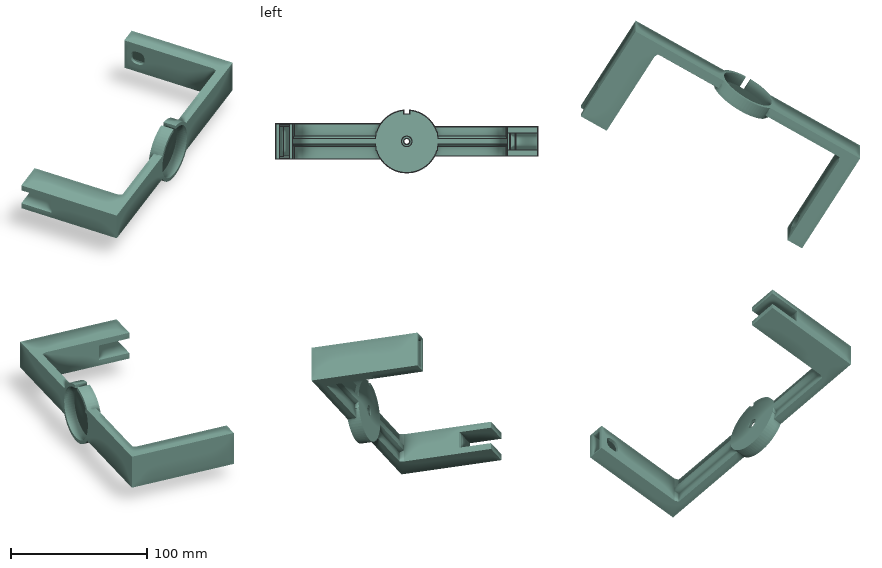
import cadquery as cq

total_length = 192.0
frame_depth = 10.0
y_end = total_length / 2

recess_depth = 3.0
upper_height = 26.1
lower_height = 21.7
rib_tip_width = 4.0
rib_base_width = 7.7
corner_run = 1.3

socket_arm_reach = 72.5
socket_arm_thickness = 12.3
socket_width = 7.3
socket_height = 21.5
socket_depth = 22.0
socket_outer_wall = 2.7
mouth_bevel = 1.3
socket_step_width = 3.0
socket_step = 0.2
button_hole_width = 11.0
button_hole_height = 11.5
button_hole_corner = 4.2
button_hole_setback = 11.0

fork_arm_reach = 68.0
fork_arm_thickness = 22.0
fork_gap = 12.3
fork_depth = 24.5
groove_size = 0.5
groove_offsets = (2.0, 6.0)

dial_radius = 23.0
dial_sides = 64
cap_thickness = 1.7
cup_radius = 20.4
notch_width = 4.0
notch_floor = 20.2
tab_span = 45.1
tab_height = 13.5
screw_hole_diameter = 4.2
screw_head_diameter = 7.7
screw_head_depth = 0.8


def box(x_range, y_range, z_range):
    """Axis-aligned block from its limits on each axis."""
    size = [high - low for low, high in (x_range, y_range, z_range)]
    corner = cq.Vector(x_range[0], y_range[0], z_range[0])
    return cq.Workplane(cq.Solid.makeBox(*size, corner))


def centred(width):
    return (-width / 2, width / 2)


def dial_prism(radius, x_start, x_end):
    """Regular prism along X, with a corner pointing straight up."""
    return (
        cq.Workplane("YZ", origin=(x_start, 0, 0))
        .polygon(dial_sides, 2 * radius)
        .extrude(x_end - x_start)
    )


def dial_cylinder(diameter, depth):
    return cq.Workplane("YZ").circle(diameter / 2).extrude(depth)


def half_frame(side, height, arm_reach, arm_thickness):
    """L-shaped half: spine and arm, with a sloped inner corner; side is +1 or -1 along Y."""
    y_inner = y_end - arm_thickness
    outline = [
        (recess_depth, 0),
        (recess_depth, y_inner - corner_run),
        (0, y_inner),
        (-arm_reach, y_inner),
        (-arm_reach, y_end),
        (frame_depth, y_end),
        (frame_depth, 0),
    ]
    return (
        cq.Workplane("XY", origin=(0, 0, -height / 2))
        .polyline([(x, side * y) for x, y in outline])
        .close()
        .extrude(height)
    )


def spine_rib():
    """Tapered rib joining the two arms, flush with the front of the dial."""
    y_low = fork_arm_thickness - y_end
    y_high = y_end - socket_arm_thickness
    return (
        cq.Workplane("XZ", origin=(0, y_low, 0))
        .polyline([
            (0, -rib_tip_width / 2),
            (recess_depth, -rib_base_width / 2),
            (recess_depth, rib_base_width / 2),
            (0, rib_tip_width / 2),
        ])
        .close()
        .extrude(y_low - y_high)
    )


def cut_socket(body):
    """Rectangular socket in the arm end, bevelled above and below, with a rounded button hole.

    The strip along the outer wall is a shallow step taller and deeper than the rest.
    """
    x_mouth = -socket_arm_reach
    y_high = y_end - socket_outer_wall
    y_low = y_high - socket_width
    socket = box((x_mouth, x_mouth + socket_depth), (y_low, y_high), centred(socket_height))
    step = box(
        (x_mouth, x_mouth + socket_depth + socket_step),
        (y_high - socket_step_width, y_high),
        centred(socket_height + 2 * socket_step),
    )
    mouth = (
        cq.Workplane("XZ", origin=(0, y_low, 0))
        .polyline([
            (x_mouth, -socket_height / 2 - mouth_bevel),
            (x_mouth + mouth_bevel, -socket_height / 2),
            (x_mouth + mouth_bevel, socket_height / 2),
            (x_mouth, socket_height / 2 + mouth_bevel),
        ])
        .close()
        .extrude(-socket_width)
    )
    y_inner = y_end - socket_arm_thickness
    button_hole = (
        cq.Workplane("XZ", origin=(x_mouth + button_hole_setback, y_inner, 0))
        .rect(button_hole_width, button_hole_height)
        .extrude(y_inner - y_high)
        .edges("|Y")
        .fillet(button_hole_corner)
    )
    return body.cut(socket).cut(step).cut(mouth).cut(button_hole)


def cut_fork(body):
    """Open gap between the two tines, with two fine grooves in its end wall."""
    x_tip = -fork_arm_reach
    x_wall = x_tip + fork_depth
    y_inner = fork_arm_thickness - y_end
    body = body.cut(box((x_tip, x_wall), (-y_end, y_inner), centred(fork_gap)))
    for offset in groove_offsets:
        y_groove = y_inner - offset
        groove = box((x_wall, x_wall + groove_size), (y_groove, y_groove + groove_size), centred(fork_gap))
        body = body.cut(groove)
    return body


def add_dial(body):
    """Cup-shaped dial with side tabs, a notch at the top and a counterbored screw hole."""
    body = body.union(dial_prism(dial_radius, 0, frame_depth))
    body = body.union(box((0, recess_depth), centred(tab_span), centred(tab_height)))
    body = body.cut(dial_prism(cup_radius, cap_thickness, frame_depth))
    body = body.cut(box((0, frame_depth), centred(notch_width), (notch_floor, dial_radius)))
    body = body.cut(dial_cylinder(screw_hole_diameter, cap_thickness))
    return body.cut(dial_cylinder(screw_head_diameter, screw_head_depth))


result = half_frame(1, upper_height, socket_arm_reach, socket_arm_thickness)
result = result.union(half_frame(-1, lower_height, fork_arm_reach, fork_arm_thickness))
result = result.union(spine_rib())
result = cut_socket(result)
result = cut_fork(result)
result = add_dial(result)